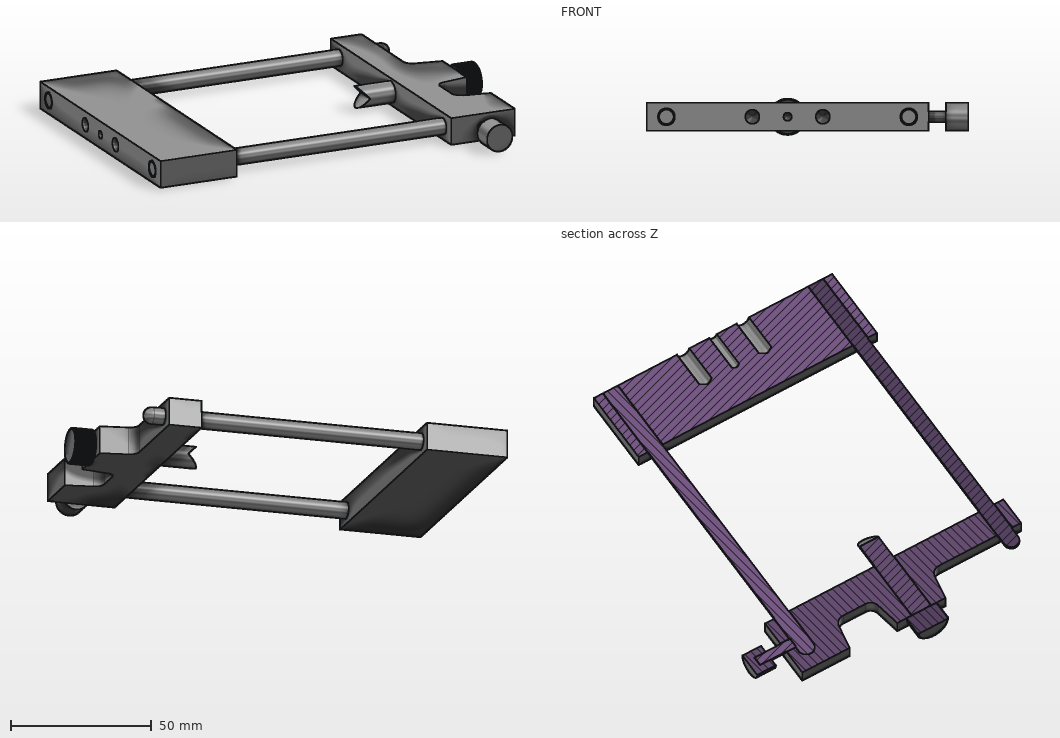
import cadquery as cq
import math


plate_width = 100.0
plate_thickness = 10.0

base_depth = 30.0
base_holes_offset = 12.5
side_hole_diameter = 5.0
middle_hole_diameter = 3.0
base_hole_depth = 15.0
drill_point_angle = 118.0

bar_gap = 84.1
bar_depth = 25.0
beam_depth = 12.0
boss_top_width = 20.3
jaw_top_width = 20.0
flank_angle = 10.0
root_radius = 3.5

rod_diameter = 6.0
rod_spacing = 86.0
rod_end_chamfer = 0.5
rod_tip_overhang = 7.4

spindle_diameter = 8.0
spindle_overhang = 14.0

knob_diameter = 13.0
knob_length = 8.0
knob_chamfer = 0.5
knurl_count = 60
knurl_depth = 0.1
knurl_crest_share = 0.5

screw_setback = 12.3
screw_shank_diameter = 4.0
screw_shank_length = 15.0
screw_neck_length = 6.2
screw_head_diameter = 10.0
screw_head_length = 8.0

bar_face = base_depth + bar_gap
beam_back = bar_face + beam_depth
bar_back = bar_face + bar_depth
rod_length = beam_back + rod_tip_overhang
screw_y = bar_face + screw_setback
rod_offset = rod_spacing / 2
bar_side = plate_width / 2
rod_side = rod_offset + rod_diameter / 2


def rod_along_y(x, start, length, diameter):
    """Round bar parallel to Y, starting at the given Y."""
    solid = cq.Solid.makeCylinder(diameter / 2, length, cq.Vector(x, start, 0), cq.Vector(0, 1, 0))
    return cq.Workplane(obj=solid)


def rod_along_x(start, length, diameter):
    """Round bar parallel to X on the thumb screw axis, starting at the given X."""
    solid = cq.Solid.makeCylinder(diameter / 2, length, cq.Vector(start, screw_y, 0), cq.Vector(1, 0, 0))
    return cq.Workplane(obj=solid)


def drilled_hole(x, diameter):
    """Blind hole from the outer face of the base, ending in a drill point."""
    radius = diameter / 2
    point_depth = radius / math.tan(math.radians(drill_point_angle / 2))
    return (
        cq.Workplane("XY")
        .polyline([(0, 0), (radius, 0), (radius, base_hole_depth), (0, base_hole_depth + point_depth)])
        .close()
        .revolve(360, (0, 0), (0, 1))
        .translate((x, 0, 0))
    )


def make_guide_rod(x):
    """Guide rod, chamfered at the base face and hemispherical at its far end."""
    radius = rod_diameter / 2
    straight_end = rod_length - radius
    round_end_middle = radius * math.sqrt(0.5)
    return (
        cq.Workplane("XY")
        .moveTo(0, 0)
        .lineTo(radius - rod_end_chamfer, 0)
        .lineTo(radius, rod_end_chamfer)
        .lineTo(radius, straight_end)
        .threePointArc((round_end_middle, straight_end + round_end_middle), (0, rod_length))
        .close()
        .revolve(360, (0, 0), (0, 1))
        .translate((x, 0, 0))
    )


def make_base():
    """Rectangular block that holds the rods and has three drilled holes."""
    base = cq.Workplane("XY").box(plate_width, base_depth, plate_thickness, centered=(True, False, True))
    for x in (-rod_offset, rod_offset):
        base = base.cut(rod_along_y(x, 0, base_depth, rod_diameter))
    for x in (-base_holes_offset, base_holes_offset):
        base = base.cut(drilled_hole(x, side_hole_diameter))
    return base.cut(drilled_hole(0, middle_hole_diameter))


def make_bar():
    """Sliding bar: a beam with a tapered middle boss and a jaw at its +X end."""
    flank_run = (bar_depth - beam_depth) * math.tan(math.radians(flank_angle))
    boss_top = boss_top_width / 2
    boss_root = boss_top + flank_run
    jaw_top = bar_side - jaw_top_width
    jaw_root = jaw_top - flank_run
    bar = (
        cq.Workplane("XY")
        .polyline(
            [
                (-bar_side, bar_face),
                (bar_side, bar_face),
                (bar_side, bar_back),
                (jaw_top, bar_back),
                (jaw_root, beam_back),
                (boss_root, beam_back),
                (boss_top, bar_back),
                (-boss_top, bar_back),
                (-boss_root, beam_back),
                (-bar_side, beam_back),
            ]
        )
        .close()
        .extrude(plate_thickness / 2, both=True)
    )
    for x in (-boss_root, boss_root, jaw_root):
        root_edge = cq.selectors.NearestToPointSelector((x, beam_back, 0))
        bar = bar.edges("|Z").edges(root_edge).fillet(root_radius)
    for x in (-rod_offset, rod_offset):
        bar = bar.cut(make_guide_rod(x))
    bar = bar.cut(rod_along_y(0, bar_face, bar_depth, spindle_diameter))
    return bar.cut(make_screw_shank())


def make_spindle():
    """Plain spindle through the bar, with a right-angled V notch along X across its tip."""
    radius = spindle_diameter / 2
    tip = bar_face - spindle_overhang
    notch = (
        cq.Workplane("YZ")
        .polyline([(tip, -radius), (tip + radius, 0), (tip, radius)])
        .close()
        .extrude(radius, both=True)
    )
    return rod_along_y(0, tip, spindle_overhang + bar_depth, spindle_diameter).cut(notch)


def polar_point(radius, angle):
    """Flat coordinates of the point at a radius and an angle in radians."""
    return (radius * math.cos(angle), radius * math.sin(angle))


def make_knob():
    """Knob on the far end of the spindle, with flat-topped knurl teeth and chamfered rims."""
    outer_radius = knob_diameter / 2
    groove_radius = outer_radius - knurl_depth
    tooth_angle = 2 * math.pi / knurl_count
    half_crest = tooth_angle * knurl_crest_share / 2
    points = []
    for tooth in range(knurl_count):
        middle = tooth * tooth_angle
        points.append(polar_point(outer_radius, middle - half_crest))
        points.append(polar_point(outer_radius, middle + half_crest))
        points.append(polar_point(groove_radius, middle + tooth_angle / 2))
    knob = cq.Workplane("XZ", origin=(0, bar_back, 0)).polyline(points).close().extrude(-knob_length)
    blank = rod_along_y(0, bar_back, knob_length, knob_diameter).faces("|Y").chamfer(knob_chamfer)
    return knob.intersect(blank)


def make_screw_shank():
    """Thumb screw shank, from the side of the +X rod into the screw head."""
    return rod_along_x(rod_side, screw_shank_length, screw_shank_diameter)


def make_screw_head():
    """Round thumb screw head with a blind hole for the shank."""
    head = rod_along_x(bar_side + screw_neck_length, screw_head_length, screw_head_diameter)
    return head.cut(make_screw_shank())


base = make_base()
bar = make_bar()
guide_rods = [make_guide_rod(x) for x in (-rod_offset, rod_offset)]
spindle = make_spindle()
knob = make_knob()
screw_shank = make_screw_shank()
screw_head = make_screw_head()

result = cq.Compound.makeCompound(
    [
        base.val(),
        bar.val(),
        *[rod.val() for rod in guide_rods],
        spindle.val(),
        knob.val(),
        screw_shank.val(),
        screw_head.val(),
    ]
)